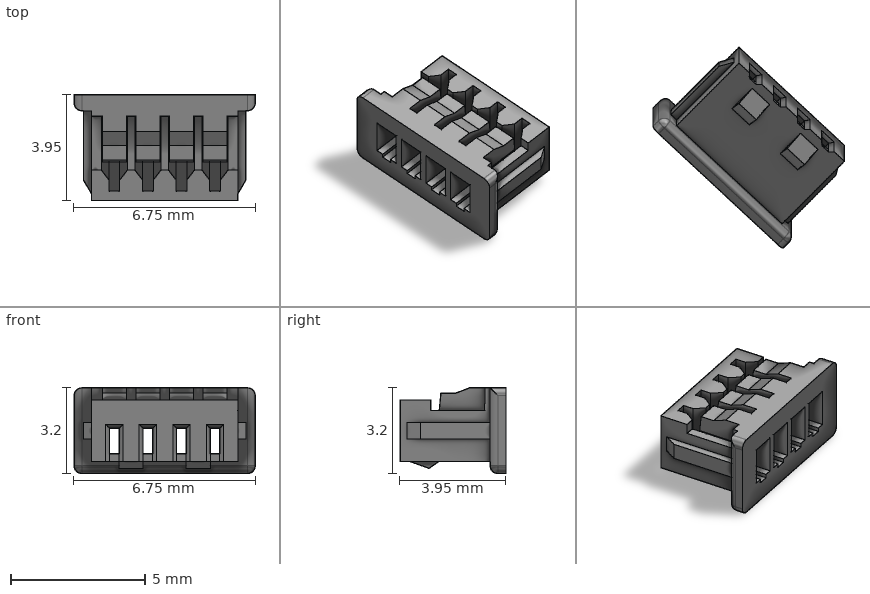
import cadquery as cq


overall_width = 6.75
overall_depth = 3.95
overall_height = 3.2

flange_depth = 0.6
flange_radius = 0.3

body_width = 5.455
body_bottom = 0.45
body_top = 2.75
front = -overall_depth

recess_back = -0.8
recess_back_at_top = -0.79
recess_front = -2.8
recess_floor = 2.355

contact_count = 4
pitch = 1.25
contact_places = [(i - (contact_count - 1) / 2) * pitch for i in range(contact_count)]

cavity_width = 0.98
cavity_floor = 0.9
channel_width = 0.4
channel_floor = 0.75
channel_front = -3.59
taper_front = -3.18

opening_width = 0.35
opening_top = 1.69
funnel_lead = 0.15

arm_width = 0.9
arm_slope_start = -1.365
arm_slope_end = -1.89
arm_low_top = 3.0
arm_tip_top = -2.44
arm_tip_bottom = -2.5

rib_projection = 0.3
rib_bottom = 1.28
rib_height = 0.62
rib_bevel_start = -3.185
rib_bevel_end = -3.69

hook_width = 0.9
hook_back = -2.505
hook_peak = -2.875
hook_front = -3.59
hook_bottom = 0.195
hook_places = [-pitch, pitch]


def block(x_center, width, y_front, y_back, z_low, z_high):
    """Box centred on x_center that spans the given Y and Z limits."""
    size = (width, y_back - y_front, z_high - z_low)
    corner = (x_center - width / 2, y_front, z_low)
    return cq.Workplane("XY").box(*size, centered=False).translate(corner)


def side_profile(x_center, width, points):
    """Extrude a (Y, Z) outline symmetrically about x_center."""
    return cq.Workplane("YZ", origin=(x_center, 0, 0)).polyline(points).close().extrude(width / 2, both=True)


def make_flange():
    """Plate with four rounded corners and a rounded front rim, flat along the top edge."""
    plate = block(0, overall_width, -flange_depth, 0, 0, overall_height)
    rim = plate.edges("|Y and <Z").fillet(flange_radius)
    rim = rim.faces("<Y").edges("not >Z").fillet(flange_radius)
    rounded_plate = plate.edges("|Y").fillet(flange_radius)
    return rim.intersect(rounded_plate)


def make_body():
    """Block whose side outline steps up to the full height behind the recess."""
    outline = [
        (0, body_bottom),
        (front, body_bottom),
        (front, body_top),
        (recess_front, body_top),
        (recess_front, recess_floor),
        (recess_back, recess_floor),
        (recess_back_at_top, overall_height),
        (0, overall_height),
    ]
    return side_profile(0, body_width, outline)


def make_rib(side):
    """Side rib with a bevelled front end; side is -1 or +1."""
    inner = side * body_width / 2
    outer = inner + side * rib_projection
    outline = [(0, 0), (inner, 0), (inner, rib_bevel_end), (outer, rib_bevel_start), (outer, 0)]
    return (
        cq.Workplane("XY", origin=(0, 0, rib_bottom))
        .polyline(outline)
        .close()
        .extrude(rib_height)
    )


def make_hook(x):
    """Wedge under the body."""
    outline = [
        (hook_back, body_bottom),
        (hook_peak, hook_bottom),
        (hook_front, body_bottom),
    ]
    return side_profile(x, hook_width, outline)


def make_arm(x):
    """Latch arm that reaches forward from the flange over its cavity."""
    outline = [
        (recess_back, recess_floor),
        (recess_back_at_top, overall_height),
        (arm_slope_start, overall_height),
        (arm_slope_end, arm_low_top),
        (arm_tip_top, arm_low_top),
        (arm_tip_bottom, recess_floor),
    ]
    return side_profile(x, arm_width, outline)


def make_cavity(x):
    """Cavity open at the back, with a floor groove, narrowing forward into a channel open at the top."""
    rear = block(x, cavity_width, recess_front, 0, cavity_floor, recess_floor)
    channel = block(x, channel_width, channel_front, recess_front, channel_floor, body_top)
    groove = block(x, channel_width, recess_front, 0, channel_floor, recess_floor)
    taper = (
        cq.Workplane("XY", origin=(x, 0, cavity_floor))
        .polyline([
            (-cavity_width / 2, recess_front),
            (cavity_width / 2, recess_front),
            (channel_width / 2, taper_front),
            (-channel_width / 2, taper_front),
        ])
        .close()
        .extrude(body_top - cavity_floor)
    )
    return rear.union(taper).union(channel).union(groove)


def make_opening(x):
    """Hole through the front wall with a funnel mouth that runs out through the underside."""
    hole = block(x, opening_width, front, channel_front, channel_floor, opening_top)
    mouth_width = opening_width + 2 * funnel_lead
    mouth_top = opening_top + funnel_lead
    funnel = (
        cq.Workplane("XZ", origin=(x, front, 0))
        .center(0, (body_bottom + mouth_top) / 2)
        .rect(mouth_width, mouth_top - body_bottom)
        .workplane(offset=-funnel_lead)
        .center(0, -funnel_lead / 2)
        .rect(opening_width, opening_top - body_bottom)
        .loft(ruled=True)
    )
    return hole.union(funnel)


result = make_flange().union(make_body())
for side in (-1, 1):
    result = result.union(make_rib(side))
for hook_x in hook_places:
    result = result.union(make_hook(hook_x))
for contact_x in contact_places:
    result = result.cut(make_cavity(contact_x)).cut(make_opening(contact_x))
for contact_x in contact_places:
    result = result.union(make_arm(contact_x))